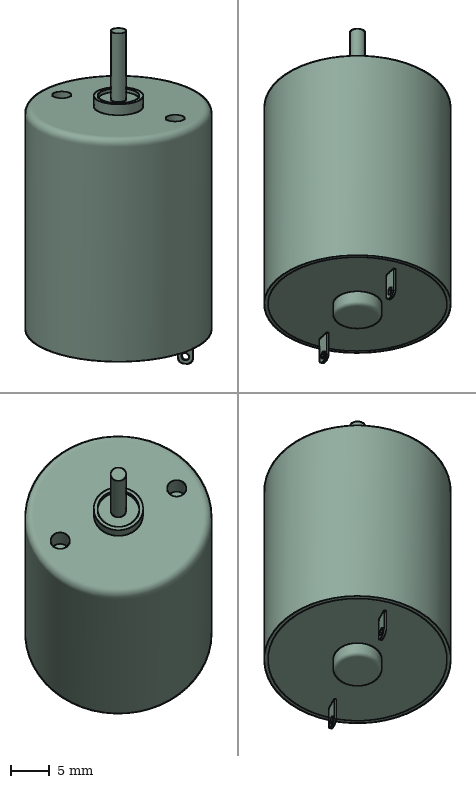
import cadquery as cq
import math


case_diameter = 24.2
case_length = 30.8
case_edge_radius = 1.0
front_boss_diameter = 6.4
front_boss_height = 1.5
front_recess_diameter = 5.4
front_recess_depth = 0.5

mount_hole_diameter = 2.46
mount_hole_depth = 3.0
mount_circle_radius = 8.5
mount_angle = math.radians(165)

shaft_diameter = 2.0
shaft_protrusion = 9.0

cap_diameter = 23.2
cap_thickness = 2.0
rear_boss_diameter = 6.3
rear_boss_height = 2.0
rear_boss_edge_radius = 0.5
terminal_length = 3.9
terminal_width = 2.0
terminal_thickness = 0.3
terminal_tip_radius = 0.8
terminal_hole_diameter = 1.0
terminal_hole_inset = 1.0
terminal_offset = 9.0

front_boss_top = case_length + front_boss_height
shaft_length = front_boss_top + shaft_protrusion - cap_thickness


def cylinder(diameter, length, base_z):
    """Solid cylinder on the motor axis, rising from base_z."""
    return cq.Workplane("XY", origin=(0, 0, base_z)).circle(diameter / 2).extrude(length)


def make_case():
    """Case with a rounded front edge, a recessed boss, mounting holes, a cap seat and a shaft bore."""
    case = cylinder(case_diameter, case_length, 0).faces(">Z").edges().fillet(case_edge_radius)
    case = case.union(cylinder(front_boss_diameter, front_boss_height, case_length))
    case = case.cut(cylinder(front_recess_diameter, front_recess_depth, front_boss_top - front_recess_depth))

    mount_x = mount_circle_radius * math.cos(mount_angle)
    mount_y = mount_circle_radius * math.sin(mount_angle)
    mount_holes = (
        cq.Workplane("XY", origin=(0, 0, case_length))
        .pushPoints([(mount_x, mount_y), (-mount_x, -mount_y)])
        .circle(mount_hole_diameter / 2)
        .extrude(-mount_hole_depth)
    )
    cap_seat = cylinder(cap_diameter, cap_thickness, 0)
    shaft_bore = cylinder(shaft_diameter, shaft_length, cap_thickness)
    return case.cut(mount_holes).cut(cap_seat).cut(shaft_bore)


def make_shaft():
    """Plain shaft running from the inner face of the end cap out through the front boss."""
    return cylinder(shaft_diameter, shaft_length, cap_thickness)


def make_terminal(center_x):
    """Flat solder tab hanging below the end cap, with a rounded tip and a hole."""
    half_width = terminal_width / 2
    hole_center_z = terminal_hole_inset - terminal_length
    tab_plane = cq.Workplane("XZ", origin=(center_x, 0, 0))
    tab = (
        tab_plane.moveTo(-half_width, 0)
        .lineTo(-half_width, -terminal_length)
        .lineTo(half_width, -terminal_length)
        .lineTo(half_width, 0)
        .close()
        .extrude(terminal_thickness / 2, both=True)
        .faces("<Z")
        .edges("|Y")
        .fillet(terminal_tip_radius)
    )
    hole = (
        tab_plane.center(0, hole_center_z)
        .circle(terminal_hole_diameter / 2)
        .extrude(terminal_thickness, both=True)
    )
    return tab.cut(hole)


def make_end_cap():
    """Disc flush with the case rim, carrying the rounded rear boss and both terminals."""
    rear_boss = cylinder(rear_boss_diameter, rear_boss_height, -rear_boss_height)
    rear_boss = rear_boss.faces("<Z").edges().fillet(rear_boss_edge_radius)
    cap = cylinder(cap_diameter, cap_thickness, 0).union(rear_boss)
    for center_x in (-terminal_offset, terminal_offset):
        cap = cap.union(make_terminal(center_x))
    return cap


case = make_case()
shaft = make_shaft()
end_cap = make_end_cap()

result = cq.Compound.makeCompound([case.val(), shaft.val(), end_cap.val()])